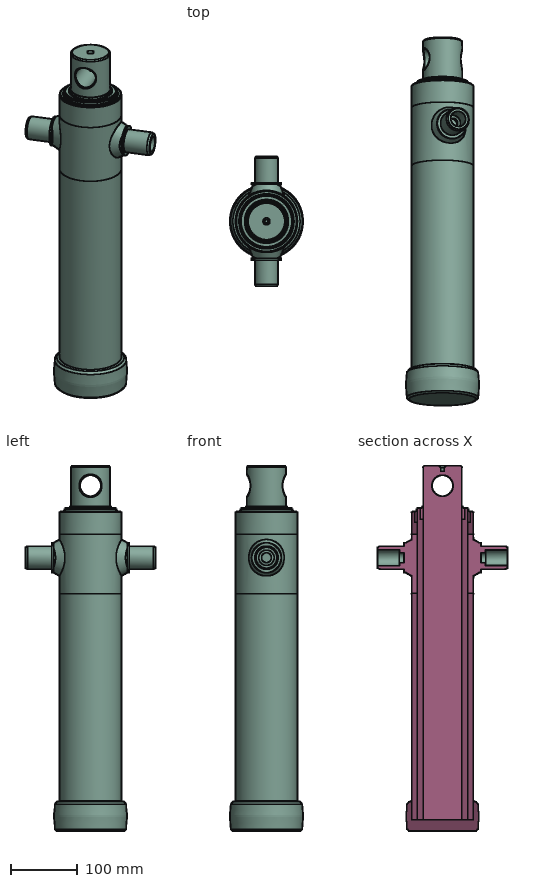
import cadquery as cq

total_height = 548.0
trunnion_span = 195.0

rod_dia = 59.0
rod_chamfer = 2.0
eye_dia = 31.0
eye_edge_chamfer = 1.5
eye_height = 518.0
center_drill_dia = 5.0
center_drill_mouth_dia = 10.5
center_drill_cone = 3.5
center_drill_depth = 8.0

stage_dia = 76.0
stage_top = 484.5

wiper_lip_height = 3.0
wiper_seat_depth = 16.5
wiper_lip_top_wall = 1.0
wiper_lip_base_wall = 2.0
wiper_seat_wall = 3.5

body_dia = 93.0
head_top = 479.5
head_chamfer = 1.5
sleeve_top = 445.0
sleeve_bottom = 356.0

trunnion_height = 410.0
boss_dia = 43.0
boss_face = 58.0
weld_along_boss = 11.0
weld_along_sleeve = 6.0
flange_dia = 45.0
flange_thickness = 3.0
pin_dia = 35.0
pin_end_dia = 31.0
pin_chamfer_length = 3.5
pin_bore_dia = 23.0
pin_bore_depth = 33.0
port_dia = 15.0

base_dia = 110.0
base_rim_dia = 107.5
base_top_dia = 101.0
base_bottom_dia = 101.0
base_top = 44.5
base_lip_top = 45.5
base_shoulder = 40.5
band_top = 24.0
band_bottom = 21.0
base_bottom_chamfer = 3.0
socket_floor = 16.5

trunnion_tip = trunnion_span / 2


def cylinder_z(dia, bottom, top):
    """Cylinder on the Z axis."""
    return cq.Workplane("XY").workplane(offset=bottom).circle(dia / 2).extrude(top - bottom)


def cone_z(bottom_dia, bottom, top_dia, top):
    """Truncated cone on the Z axis."""
    cone = cq.Solid.makeCone(bottom_dia / 2, top_dia / 2, top - bottom, cq.Vector(0, 0, bottom))
    return cq.Workplane(cone)


def cylinder_y(dia, near, far):
    """Cylinder on the trunnion axis, from Y = near to Y = far."""
    plane = cq.Plane(origin=(0, near, trunnion_height), xDir=(1, 0, 0), normal=(0, 1, 0))
    return cq.Workplane(plane).circle(dia / 2).extrude(far - near)


def make_rod():
    rod = cylinder_z(rod_dia, socket_floor, total_height).faces(">Z").chamfer(rod_chamfer)
    eye = cq.Workplane("YZ").center(0, eye_height).circle(eye_dia / 2).extrude(rod_dia, both=True)
    rod = rod.cut(eye)
    eye_rims = [edge for edge in rod.edges().vals() if edge.geomType() not in ("CIRCLE", "LINE")]
    rod = cq.Workplane(rod.val().chamfer(eye_edge_chamfer, eye_edge_chamfer, eye_rims))
    drill = cylinder_z(center_drill_dia, total_height - center_drill_depth, total_height)
    mouth = cone_z(
        center_drill_dia, total_height - center_drill_cone, center_drill_mouth_dia, total_height
    )
    return rod.cut(drill).cut(mouth)


def wiper_seat(bore_dia, rim):
    """Volume that a wiper fills below the rim of the part that holds it."""
    return cylinder_z(bore_dia + 2 * wiper_seat_wall, rim - wiper_seat_depth, rim)


def make_wiper(bore_dia, rim):
    """Ring set flush in its seat, with a tapered lip standing above the rim."""
    lip_top = rim + wiper_lip_height
    lip = cone_z(
        bore_dia + 2 * wiper_lip_base_wall, rim, bore_dia + 2 * wiper_lip_top_wall, lip_top
    )
    bore = cylinder_z(bore_dia, rim - wiper_seat_depth, lip_top)
    return wiper_seat(bore_dia, rim).union(lip).cut(bore)


def make_stage():
    stage = cylinder_z(stage_dia, socket_floor, stage_top)
    stage = stage.cut(cylinder_z(rod_dia, socket_floor, stage_top))
    return stage.cut(wiper_seat(rod_dia, stage_top))


def make_head():
    head = cylinder_z(body_dia, sleeve_top, head_top).faces(">Z").chamfer(head_chamfer)
    head = head.cut(cylinder_z(stage_dia, sleeve_top, head_top))
    return head.cut(wiper_seat(stage_dia, head_top))


def make_trunnion_end():
    """Flange and hollow pin on the +Y side."""
    flange = cylinder_y(flange_dia, boss_face - flange_thickness, boss_face)
    pin = cylinder_y(pin_dia, boss_face, trunnion_tip).faces(">Y")
    pin = pin.chamfer(pin_chamfer_length, (pin_dia - pin_end_dia) / 2)
    end = flange.union(pin)
    end = end.cut(cylinder_y(pin_bore_dia, trunnion_tip - pin_bore_depth, trunnion_tip))
    return end.cut(cylinder_y(port_dia, boss_face, trunnion_tip))


def make_sleeve():
    """Sleeve with two opposite trunnions, each boss set in a bevelled weld."""
    sleeve = cylinder_z(body_dia, sleeve_bottom, sleeve_top)
    sleeve = sleeve.union(cylinder_y(boss_dia, -boss_face, boss_face))
    boss_roots = [edge for edge in sleeve.edges().vals() if edge.geomType() not in ("CIRCLE", "LINE")]
    sleeve = cq.Workplane(sleeve.val().chamfer(weld_along_sleeve, weld_along_boss, boss_roots))
    for turn in (0, 180):
        sleeve = sleeve.union(make_trunnion_end().rotate((0, 0, 0), (0, 0, 1), turn))
    return sleeve.cut(cylinder_z(stage_dia, sleeve_bottom, sleeve_top))


def make_barrel():
    barrel = cylinder_z(body_dia, socket_floor, sleeve_bottom)
    return barrel.cut(cylinder_z(stage_dia, socket_floor, sleeve_bottom))


def make_base():
    """Turned cap with a raised middle band and a socket for the barrel."""
    base = (
        cq.Workplane("XZ")
        .moveTo(0, 0)
        .lineTo(base_bottom_dia / 2, 0)
        .lineTo(base_rim_dia / 2, base_bottom_chamfer)
        .lineTo(base_dia / 2, band_bottom)
        .lineTo(base_dia / 2, band_top)
        .lineTo(base_rim_dia / 2, base_shoulder)
        .lineTo(base_top_dia / 2, base_top)
        .lineTo(body_dia / 2, base_lip_top)
        .lineTo(0, base_lip_top)
        .close()
        .revolve(360, (0, 0), (0, 1))
    )
    return base.cut(cylinder_z(body_dia, socket_floor, base_lip_top))


rod = make_rod()
stage = make_stage()
head = make_head()
sleeve = make_sleeve()
barrel = make_barrel()
base = make_base()
wipers = []
for bore_dia, rim in ((rod_dia, stage_top), (stage_dia, head_top)):
    wipers.append(make_wiper(bore_dia, rim).val())

result = cq.Compound.makeCompound(
    [rod.val(), stage.val(), head.val(), sleeve.val(), barrel.val(), base.val(), *wipers]
)